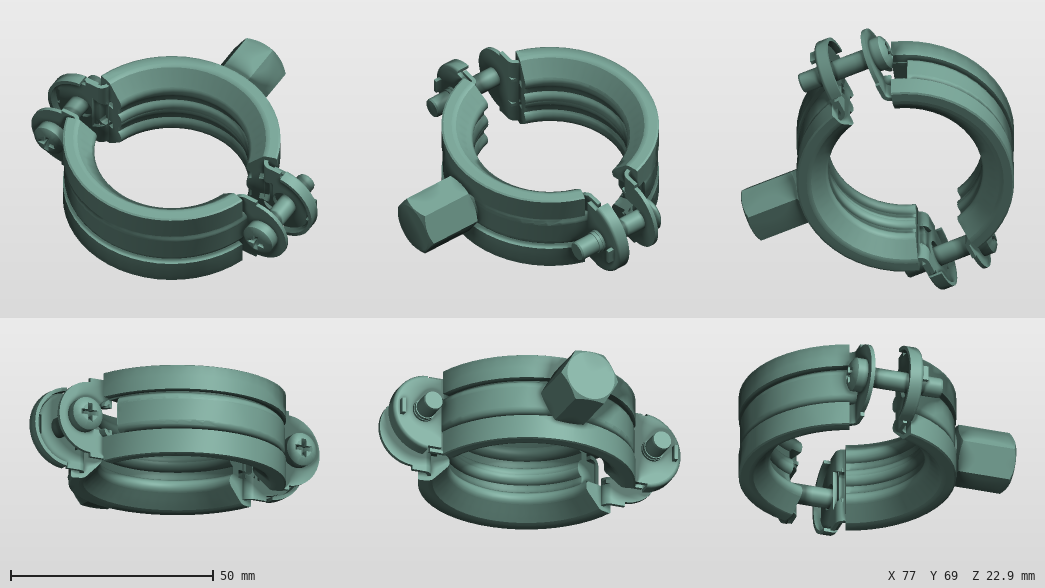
import cadquery as cq
import math


overall_length = 77.0

ring_radius = 26.95
ring_width = 22.9
half_width = ring_width / 2
end_angle = 17.3

reach = 46.2

sheet = 1.0
strap_half_width = 10.2
flange_outer = 24.8
flange_inner = flange_outer - sheet
bead_outer = 26.65
bead_inner = bead_outer - sheet
bead_half_width = 4.8
bead_round = 2.1
window_angle = 26.0

lip_gap = 0.4
lip_inner_z = bead_half_width + lip_gap
lip_chamfer = 0.2
lip_chamfer_depth = 0.5
side_inner = 24.4
cone_outer = 23.3
cone_inner = 19.8
side_drop = 0.3
side_middle = (23.95, half_width - 0.1)
cone_inner_z = 7.7
rib_radius = 19.2
groove_radius = 20.4
rib_pitch = 6.55
rib_half_width = 2.3
rib_shoulder = (19.6, 1.7)
tongue_half_width = 2.7
tongue_outer = 25.0
tongue_root = 22.3

ear_y = 5.1
lower_ear_radius = 9.1
upper_ear_radius = 8.8
ear_center = 28.1
ear_straight_end = 28.4
bend_end = 24.7
bend_under_middle = (23.6, 5.6)
bend_over_middle = (24.2, 6.5)
ear_window_end = 26.4
ear_window_half = 5.4
ear_notch_half = 2.5
ear_hole_diameter = 6.6
ear_hole_x = 29.7

cup_radius = strap_half_width
cup_center = overall_length / 2 - cup_radius
cup_bore_radius = 9.25
cup_floor_y = ear_y + sheet
cup_top_y = 7.25
cup_rim_y = 3.7
cup_round = 0.9
cup_rim_start = 29.35
cup_floor_start = 25.7
collar_diameters = (5.8, 5.5)
collar_tops = (7.9, 8.85)
tab_outer = 36.9
tab_thickness = 1.0
tab_half_width = 1.9

screw_x = 30.6
screw_diameter = 5.0
screw_tip_diameter = 4.6
screw_top = 14.0
screw_tip_length = 0.5
head_diameter = 8.4
head_side = 2.55
head_height = 3.7
head_crown_diameter = 4.3
head_crown_middle_radius = 3.55
recess_span = 4.9
recess_arm = 1.3
recess_core = 1.7
recess_depth = 1.9
swing_slot_width = 5.8
swing_slot_end = 21.6
swing_slot_depth = 9.25

nut_corners = 15.25
nut_top = 42.0
nut_top_diameter = 12.6
nut_top_drop = 0.9
nut_bottom = 26.7
nut_bottom_diameter = 11.1
nut_bottom_rise = 1.0
nut_root = 26.0


def box(x, y, z):
    """Axis-aligned box from its (low, high) limits along each axis."""
    size = (x[1] - x[0], y[1] - y[0], z[1] - z[0])
    return cq.Workplane("XY").box(*size, centered=False).translate((x[0], y[0], z[0]))


def section():
    """Radial half plane: first coordinate is the radius, second is Z."""
    return cq.Workplane("XZ")


def revolved(profile):
    return profile.close().revolve(360, (0, 0), (0, 1))


def tube(outer, inner, low, high):
    profile = section().moveTo(inner, low).lineTo(outer, low).lineTo(outer, high).lineTo(inner, high)
    return revolved(profile)


def polar(radius, angle):
    return (radius * math.cos(math.radians(angle)), radius * math.sin(math.radians(angle)))


def wedge(start, end):
    """Full-height sector between two angles less than 180 degrees apart."""
    middle = (start + end) / 2
    far = 3 * reach
    corners = [(0, 0), polar(far, start), polar(far, middle), polar(far, end)]
    return cq.Workplane("XY").polyline(corners).close().extrude(reach, both=True)


def cylinder(diameter, x, low, high):
    """Cylinder along Y, centred on the given X."""
    return cq.Workplane("XZ", origin=(x, low, 0)).circle(diameter / 2).extrude(low - high)


def bead_solid(radius, half, rounding):
    """Solid disc with rounded rims, the shape of one skin of the raised bead."""
    return tube(radius, flange_inner, -half, half).edges(
        cq.selectors.RadiusNthSelector(-1)
    ).fillet(rounding)


def bead_ring():
    outer = bead_solid(bead_outer, bead_half_width, bead_round)
    inner = bead_solid(bead_inner, bead_half_width - sheet, bead_round - sheet)
    return outer.cut(inner)


def rubber_ring():
    """Rubber lining with outer lips, sloping sides and three inner ribs."""
    profile = (
        section()
        .moveTo(cone_inner, cone_inner_z)
        .lineTo(cone_outer, half_width - side_drop)
        .threePointArc(side_middle, (side_inner, half_width))
        .lineTo(ring_radius - lip_chamfer_depth, half_width)
        .lineTo(ring_radius, half_width - lip_chamfer)
        .lineTo(ring_radius, lip_inner_z)
        .lineTo(flange_outer, lip_inner_z)
        .lineTo(flange_outer, bead_half_width)
        .lineTo(tongue_root, bead_half_width)
        .lineTo(tongue_root, tongue_half_width)
        .lineTo(tongue_outer, tongue_half_width)
        .lineTo(tongue_outer, 0)
        .lineTo(rib_radius, 0)
        .threePointArc(rib_shoulder, (groove_radius, rib_half_width))
        .lineTo(groove_radius, rib_pitch - rib_half_width)
        .threePointArc((rib_radius, rib_pitch), (cone_inner, cone_inner_z))
    )
    half = revolved(profile)
    return half.union(half.mirror("XY"))


def half_ring():
    """Upper half of the lining and flat strap flanges, without the bead."""
    rubber = rubber_ring()
    strap = tube(flange_outer, flange_inner, -strap_half_width, strap_half_width)
    bead_space = tube(flange_outer, flange_inner, -bead_half_width, bead_half_width)
    strap = strap.cut(bead_space)
    return rubber.union(strap).intersect(wedge(end_angle, 180 - end_angle))


def ear(radius):
    """Ear at +X of the upper half: rounded plate with its bend into the strap."""
    plate = box((bend_end, ear_straight_end), (ear_y, ear_y + sheet), (-strap_half_width, strap_half_width))
    disc = cylinder(2 * radius, ear_center, ear_y, ear_y + sheet)
    disc = disc.cut(box((0, bend_end), (0, reach), (-reach, reach)))
    bend = (
        cq.Workplane("XY")
        .moveTo(bend_end, ear_y)
        .threePointArc(bend_under_middle, polar(flange_inner, end_angle))
        .lineTo(*polar(flange_outer, end_angle))
        .threePointArc(bend_over_middle, (bend_end, ear_y + sheet))
        .close()
        .extrude(strap_half_width, both=True)
    )
    return plate.union(disc).union(bend)


def upper_ear():
    inner_half = bead_half_width - sheet
    window = (
        cq.Workplane("XZ")
        .moveTo(flange_inner - sheet, -inner_half)
        .lineTo(ear_window_end, -ear_window_half)
        .lineTo(ear_window_end, ear_window_half)
        .lineTo(flange_inner - sheet, inner_half)
        .close()
        .extrude(-reach)
    )
    notch = box((tab_outer - tab_thickness, reach), (0, reach), (-ear_notch_half, ear_notch_half))
    hole = cylinder(ear_hole_diameter, ear_hole_x, ear_y, ear_y + sheet)
    return ear(upper_ear_radius).cut(window).cut(notch).cut(hole)


def cup():
    """Cup over the upper +X ear, with threaded collar and upright tab."""
    body = cylinder(2 * cup_radius, cup_center, cup_rim_y, cup_top_y).faces(">Y").edges().fillet(cup_round)
    body = body.cut(cylinder(2 * cup_bore_radius, cup_center, cup_rim_y, cup_floor_y))
    body = body.intersect(box((cup_rim_start, reach), (0, reach), (-reach, reach)))
    floor_z = (-cup_bore_radius, cup_bore_radius)
    floor = box((cup_floor_start, cup_rim_start), (cup_floor_y, cup_top_y), floor_z)
    tab_x = (tab_outer - tab_thickness, tab_outer)
    tab = box(tab_x, (cup_floor_y, collar_tops[1]), (-tab_half_width, tab_half_width))
    body = body.union(floor).union(tab)
    for diameter, top in zip(collar_diameters, collar_tops):
        body = body.union(cylinder(diameter, screw_x, cup_floor_y, top))
    return body


def screw():
    """Pan-head screw along Y with a cross recess."""
    head_base = -ear_y - sheet
    head_end = head_base - head_height
    head_edge = head_base - head_side
    crown_middle = (head_crown_middle_radius, (head_end + head_edge) / 2)
    body = (
        cq.Workplane("XY")
        .moveTo(0, head_end)
        .lineTo(head_crown_diameter / 2, head_end)
        .threePointArc(crown_middle, (head_diameter / 2, head_edge))
        .lineTo(head_diameter / 2, head_base)
        .lineTo(screw_diameter / 2, head_base)
        .lineTo(screw_diameter / 2, screw_top - screw_tip_length)
        .lineTo(screw_tip_diameter / 2, screw_top)
        .lineTo(0, screw_top)
        .close()
        .revolve(360, (0, 0), (0, 1))
    )
    floor = head_end + recess_depth
    wing = (
        cq.Workplane("XY")
        .moveTo(-recess_span / 2, head_end)
        .lineTo(recess_span / 2, head_end)
        .lineTo(recess_core / 2, floor)
        .lineTo(-recess_core / 2, floor)
        .close()
        .extrude(recess_arm / 2, both=True)
    )
    body = body.cut(cylinder(recess_core, 0, head_end, floor))
    for turn in (0, 90):
        body = body.cut(wing.rotate((0, 0, 0), (0, 1, 0), turn))
    return body.translate((screw_x, 0, 0))


def nut():
    """Hexagonal connection nut along +Y, turned down at both ends."""
    hexagon = cq.Workplane("XZ", origin=(0, nut_root, 0)).polygon(6, nut_corners).extrude(nut_root - nut_top)
    corner = nut_corners / 2
    turned = (
        cq.Workplane("XY")
        .moveTo(0, nut_root)
        .lineTo(nut_bottom_diameter / 2, nut_root)
        .lineTo(nut_bottom_diameter / 2, nut_bottom)
        .lineTo(corner, nut_bottom + nut_bottom_rise)
        .lineTo(corner, nut_top - nut_top_drop)
        .lineTo(nut_top_diameter / 2, nut_top)
        .lineTo(0, nut_top)
        .close()
        .revolve(360, (0, 0), (0, 1))
    )
    return hexagon.intersect(turned)


def both_sides(shape):
    return shape.union(shape.mirror("YZ"))


bead = bead_ring()
upper_bead = bead.intersect(box((-reach, reach), (cup_floor_y, reach), (-reach, reach)))
lower_bead = bead.intersect(box((-reach, reach), (-reach, -ear_y), (-reach, reach)))

swing_window = wedge(180 + end_angle, 180 + window_angle).intersect(
    box((-reach, reach), (-reach, reach), (-bead_half_width, bead_half_width))
)
swing_slot = box(
    (-screw_x, -swing_slot_end),
    (-swing_slot_depth, -ear_y),
    (-swing_slot_width / 2, swing_slot_width / 2),
)

half = half_ring()
upper = half.union(upper_bead).union(both_sides(upper_ear().union(cup()))).union(nut())
lower = half.union(both_sides(ear(lower_ear_radius))).mirror("XZ")
lower = lower.union(lower_bead).cut(swing_window).cut(swing_slot)

result = upper.union(lower).union(both_sides(screw()))